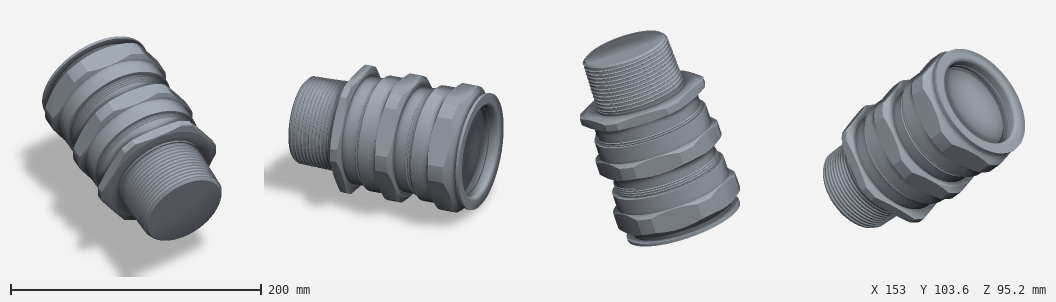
import cadquery as cq
import math


SEAL_FLANGE_DIA = 94.9
SEAL_FLANGE_THICKNESS = 2.3
SEAL_NECK_DIA = 83.0
SEAL_BORE_DIA = 74.0
SEAL_LIP_RADIUS = 3.0
SEAL_LENGTH = 8.1

HEX_ACROSS_FLATS = 95.2
HEX_HALF_SECTOR = 30.0
HEX_FLAT_RATIO = math.cos(math.radians(HEX_HALF_SECTOR))
NUT_CORNER_DIA = 102.8
NUT_SKIRT_DIA = 94.0

BACK_NUT_START = 5.7
BACK_NUT_NOSE_DIA = 84.2
BACK_NUT_CORNER_START = 12.1
BACK_NUT_CORNER_END = 24.8
BACK_NUT_SKIRT_START = 27.5
BACK_NUT_END = 41.0
BACK_NUT_SEAT = 9.0
BACK_NUT_LIP_END = 12.1
BACK_NUT_LIP_DIA = 74.5

MIDDLE_START = 16.7
MIDDLE_SPIGOT_DIA = 85.2
MIDDLE_BORE_DIA = 77.7
MIDDLE_HEX_START = 57.7
MIDDLE_CORNER_START = 60.1
MIDDLE_CORNER_END = 70.4
MIDDLE_SKIRT_START = 72.8
MIDDLE_END = 86.8
MIDDLE_THREAD_START = 37.8
MIDDLE_THREAD_TURNS = 5.4

ENTRY_SPIGOT_DIA = 87.2
ENTRY_HEX_START = 102.0
ENTRY_HEX_END = 110.6
ENTRY_HEX_CHAMFER = 1.5
ENTRY_HEX_FACE_DIA = 92.5
ENTRY_ACROSS_CORNERS = 103.6
ENTRY_COLLAR_DIA = 74.0
ENTRY_COLLAR_END = 112.2
ENTRY_END = 153.0
ENTRY_TIP_CHAMFER = 1.4
ENTRY_THREAD_START = 82.5
ENTRY_THREAD_TURNS = 4.3

SPIGOT_PITCH = 2.0
SPIGOT_THREAD_HEIGHT = 0.9
THREAD_CLEARANCE = 0.2

TAPER_ROOT_DIA = 71.3
TAPER_SLOPE = 1 / 32
TAPER_THREAD_HEIGHT = 1.0
TAPER_THREAD_START = 112.6
TAPER_THREAD_TURNS = 12.3
TAPER_THREAD_LENGTH = 39.0
TAPER_PITCH = TAPER_THREAD_LENGTH / TAPER_THREAD_TURNS

THREAD_FLANK_ANGLE = 30.0
THREAD_ROOT_OVERLAP = 0.2

PLUG_START = 13.2
PLUG_FACE_DIA = 70.5


def turned(points):
    """Solid of revolution about X from (x, radius) points."""
    return cq.Workplane("XY").polyline(points).close().revolve(360, (0, 0, 0), (1, 0, 0))


def cylinder(start, end, diameter):
    """Cylinder along X between two stations."""
    return cq.Workplane("YZ").workplane(offset=start).circle(diameter / 2).extrude(end - start)


def hexagon(start, end, across_flats):
    """Hexagonal prism along X with flats facing up and down and corners on the Y axis."""
    across_corners = across_flats / HEX_FLAT_RATIO
    return cq.Workplane("YZ").workplane(offset=start).polygon(6, across_corners).extrude(end - start)


def thread_ridge(start, turns, pitch, root_dia, height, slope=0.0):
    """Right-hand triangular ridge along X; root_dia is the root at start and shrinks with slope."""
    cone_angle = -math.degrees(math.atan(slope)) if slope else 360
    root_radius = root_dia / 2
    half_base = (height + THREAD_ROOT_OVERLAP) * math.tan(math.radians(THREAD_FLANK_ANGLE))
    path = cq.Wire.makeHelix(pitch, turns * pitch, root_radius, angle=cone_angle)
    profile = cq.Workplane("XZ").polyline([
        (root_radius - THREAD_ROOT_OVERLAP, -half_base),
        (root_radius + height, 0),
        (root_radius - THREAD_ROOT_OVERLAP, half_base),
    ]).close()
    ridge = profile.sweep(cq.Workplane(obj=path), isFrenet=True)
    ridge = ridge.rotate((0, 0, 0), (0, 1, 0), 90).rotate((0, 0, 0), (1, 0, 0), 180)
    return ridge.translate((start, 0, 0))


def make_seal():
    """Flanged ring whose bore opens to the outside through a rounded lip."""
    bore = SEAL_BORE_DIA / 2
    lip_corner = SEAL_LIP_RADIUS * math.sqrt(0.5)
    return (
        cq.Workplane("XY")
        .moveTo(SEAL_LIP_RADIUS, bore)
        .lineTo(SEAL_LENGTH, bore)
        .lineTo(SEAL_LENGTH, SEAL_NECK_DIA / 2)
        .lineTo(SEAL_FLANGE_THICKNESS, SEAL_NECK_DIA / 2)
        .lineTo(SEAL_FLANGE_THICKNESS, SEAL_FLANGE_DIA / 2)
        .lineTo(0, SEAL_FLANGE_DIA / 2)
        .lineTo(0, bore + SEAL_LIP_RADIUS)
        .threePointArc(
            (SEAL_LIP_RADIUS - lip_corner, bore + SEAL_LIP_RADIUS - lip_corner),
            (SEAL_LIP_RADIUS, bore),
        )
        .close()
        .revolve(360, (0, 0, 0), (1, 0, 0))
    )


def hex_with_skirt(start, nose_dia, corner_start, corner_end, skirt_start, end):
    """Hexagon with conical corners at both ends and a round skirt behind it."""
    envelope = turned([
        (start, 0),
        (start, nose_dia / 2),
        (corner_start, NUT_CORNER_DIA / 2),
        (corner_end, NUT_CORNER_DIA / 2),
        (skirt_start, NUT_SKIRT_DIA / 2),
        (skirt_start, 0),
    ])
    nut = hexagon(start, skirt_start, HEX_ACROSS_FLATS).intersect(envelope)
    return nut.union(cylinder(skirt_start, end, NUT_SKIRT_DIA))


def socket_dia(spigot_dia):
    """Bore that clears the thread of a spigot."""
    return spigot_dia + 2 * (SPIGOT_THREAD_HEIGHT + THREAD_CLEARANCE)


def make_back_nut():
    """Nut with a seat for the seal, an inner lip and a socket for the middle body."""
    body = hex_with_skirt(
        BACK_NUT_START, BACK_NUT_NOSE_DIA, BACK_NUT_CORNER_START,
        BACK_NUT_CORNER_END, BACK_NUT_SKIRT_START, BACK_NUT_END,
    )
    seat = cylinder(BACK_NUT_START, BACK_NUT_SEAT, SEAL_NECK_DIA)
    lip_bore = cylinder(BACK_NUT_SEAT, BACK_NUT_LIP_END, BACK_NUT_LIP_DIA)
    socket = cylinder(BACK_NUT_LIP_END, BACK_NUT_END, socket_dia(MIDDLE_SPIGOT_DIA))
    return body.cut(seat).cut(lip_bore).cut(socket)


def make_middle_body():
    """Hexagon with a threaded spigot in front, a socket behind and a bore for the plug."""
    body = hex_with_skirt(
        MIDDLE_HEX_START, NUT_SKIRT_DIA, MIDDLE_CORNER_START,
        MIDDLE_CORNER_END, MIDDLE_SKIRT_START, MIDDLE_END,
    )
    spigot = cylinder(MIDDLE_START, MIDDLE_HEX_START, MIDDLE_SPIGOT_DIA)
    bore = cylinder(MIDDLE_START, MIDDLE_SKIRT_START, MIDDLE_BORE_DIA)
    socket = cylinder(MIDDLE_SKIRT_START, MIDDLE_END, socket_dia(ENTRY_SPIGOT_DIA))
    thread = thread_ridge(
        MIDDLE_THREAD_START, MIDDLE_THREAD_TURNS, SPIGOT_PITCH, MIDDLE_SPIGOT_DIA, SPIGOT_THREAD_HEIGHT,
    )
    return body.union(spigot).cut(bore).cut(socket).union(thread)


def make_entry_body():
    """Hexagon with a straight threaded spigot in front and a tapered thread behind."""
    flats = hexagon(ENTRY_HEX_START, ENTRY_HEX_END, HEX_ACROSS_FLATS)
    corner_cut = hexagon(ENTRY_HEX_START, ENTRY_HEX_END, ENTRY_ACROSS_CORNERS)
    corner_cut = corner_cut.rotate((0, 0, 0), (1, 0, 0), HEX_HALF_SECTOR)
    corner_flat_depth = (HEX_ACROSS_FLATS / HEX_FLAT_RATIO - ENTRY_ACROSS_CORNERS) / 2
    corner_flat_half_width = corner_flat_depth / math.tan(math.radians(HEX_HALF_SECTOR))
    rim_radius = math.hypot(ENTRY_ACROSS_CORNERS / 2, corner_flat_half_width)
    hex_envelope = turned([
        (ENTRY_HEX_START, 0),
        (ENTRY_HEX_START, ENTRY_HEX_FACE_DIA / 2),
        (ENTRY_HEX_START + ENTRY_HEX_CHAMFER, rim_radius),
        (ENTRY_HEX_END - ENTRY_HEX_CHAMFER, rim_radius),
        (ENTRY_HEX_END, ENTRY_HEX_FACE_DIA / 2),
        (ENTRY_HEX_END, 0),
    ])
    hex_flange = flats.intersect(corner_cut).intersect(hex_envelope)
    spigot = cylinder(MIDDLE_SKIRT_START, ENTRY_HEX_START, ENTRY_SPIGOT_DIA)
    spigot_thread = thread_ridge(
        ENTRY_THREAD_START, ENTRY_THREAD_TURNS, SPIGOT_PITCH, ENTRY_SPIGOT_DIA, SPIGOT_THREAD_HEIGHT,
    )

    root_radius = TAPER_ROOT_DIA / 2
    chamfer_start = ENTRY_END - ENTRY_TIP_CHAMFER
    tip_radius = root_radius - TAPER_SLOPE * (chamfer_start - ENTRY_COLLAR_END)
    taper_core = turned([
        (ENTRY_HEX_END, 0),
        (ENTRY_HEX_END, ENTRY_COLLAR_DIA / 2),
        (ENTRY_COLLAR_END, ENTRY_COLLAR_DIA / 2),
        (ENTRY_COLLAR_END, root_radius),
        (chamfer_start, tip_radius),
        (ENTRY_END, tip_radius - ENTRY_TIP_CHAMFER),
        (ENTRY_END, 0),
    ])
    thread_root_dia = TAPER_ROOT_DIA - 2 * TAPER_SLOPE * (TAPER_THREAD_START - ENTRY_COLLAR_END)
    taper_thread = thread_ridge(
        TAPER_THREAD_START, TAPER_THREAD_TURNS, TAPER_PITCH,
        thread_root_dia, TAPER_THREAD_HEIGHT, TAPER_SLOPE,
    )
    return hex_flange.union(spigot).union(taper_core).union(spigot_thread).union(taper_thread)


def make_plug():
    """Round plug filling the middle body, with a 45 degree chamfer on its outer face."""
    chamfer = (MIDDLE_BORE_DIA - PLUG_FACE_DIA) / 2
    return cylinder(PLUG_START, MIDDLE_SKIRT_START, MIDDLE_BORE_DIA).faces("<X").chamfer(chamfer)


seal = make_seal()
back_nut = make_back_nut()
middle_body = make_middle_body()
entry_body = make_entry_body()
plug = make_plug()

result = cq.Compound.makeCompound([
    seal.val(),
    back_nut.val(),
    middle_body.val(),
    entry_body.val(),
    plug.val(),
])